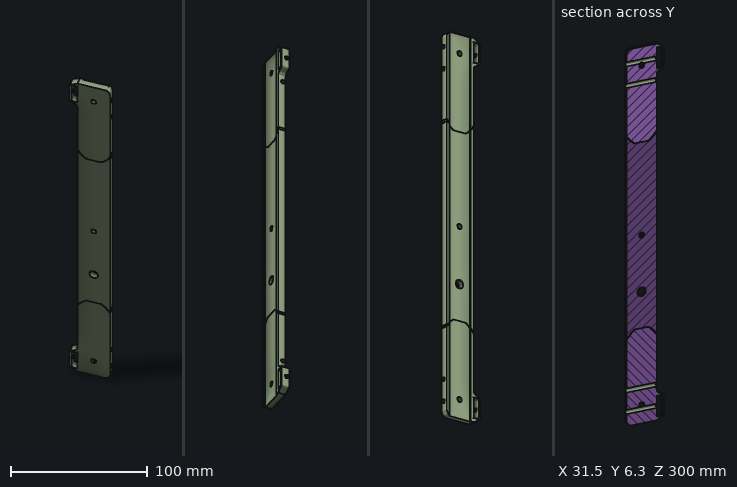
import cadquery as cq
import math

LENGTH = 300.0
THICKNESS = 6.3
PLATE_WIDTH = 25.2
CORNER_RADIUS = 4.5

CHANNEL_WIDTH = 19.5
CHANNEL_DEPTH = 1.0

EAR_REACH = 6.3
EAR_SLOPE = 27.0
EAR_EDGE_RADIUS = 1.8
EAR_ROOT_RADIUS = 4.0
EAR_CENTER_Z = 138.5
SLOT_HEIGHT = 16.2
SLOT_CORNER_RADIUS = 1.5
EAR_WALL = 1.8

SEAM_Z = 73.8
SEAM_CORNER_HEIGHT = 7.2
SEAM_CORNER_WIDTH = 7.0
SEAM_CORNER_BULGE = 0.5
TIP_CUTBACK = 1.8

END_HOLE_Z = 135.0
SCREW_HOLE_DIAMETER = 4.0
CENTRE_HOLE_Z = 0.0
LARGE_HOLE_Z = -45.0
LARGE_HOLE_DIAMETER = 6.5

CROSS_HOLE_DIAMETER = 3.0
CROSS_HOLE_Y = -1.0
UPPER_CROSS_HOLE_Z = 138.3
LOWER_CROSS_HOLE_Z = 121.2

HALF_LENGTH = LENGTH / 2
HALF_WIDTH = PLATE_WIDTH / 2
EAR_X = -HALF_WIDTH - EAR_REACH
EAR_RISE = EAR_REACH * math.tan(math.radians(EAR_SLOPE))
EAR_TOP_Z = HALF_LENGTH - EAR_RISE
EAR_BOTTOM_Z = 2 * EAR_CENTER_Z - EAR_TOP_Z
EAR_ROOT_Z = EAR_BOTTOM_Z - EAR_RISE
SHOULDER_Z = SEAM_Z + SEAM_CORNER_HEIGHT


def fillet_edge_at(body, x, z, radius):
    """Round the outline corner at (x, z) along the full thickness."""
    return body.edges(cq.selectors.NearestToPointSelector((x, 0, z))).fillet(radius)


def rear_channel():
    """Shallow channel running the full length of the rear face."""
    floor_y = THICKNESS / 2 - CHANNEL_DEPTH
    return cq.Workplane("XY").box(
        CHANNEL_WIDTH, CHANNEL_DEPTH, LENGTH, centered=(True, False, True)
    ).translate((0, floor_y, 0))


def thickness_hole(z, diameter):
    """Cutter for a hole along Y on the plate axis."""
    return cq.Workplane("XZ").center(0, z).circle(diameter / 2).extrude(THICKNESS, both=True)


def cross_hole(z):
    """Cutter for a hole along X through the whole width."""
    return cq.Workplane("YZ").center(CROSS_HOLE_Y, z).circle(CROSS_HOLE_DIAMETER / 2).extrude(
        PLATE_WIDTH, both=True
    )


def strap_slot():
    """Cutter for the slot between the ear wall and the plate side."""
    left_x = EAR_X + EAR_WALL
    slot_width = -HALF_WIDTH - left_x
    slot = cq.Workplane("XY").box(slot_width, 2 * THICKNESS, SLOT_HEIGHT)
    slot = slot.edges("|Y and <X").fillet(SLOT_CORNER_RADIUS)
    return slot.translate((left_x + slot_width / 2, 0, EAR_CENTER_Z))


def end_blank():
    """End plate outline with bowed inner corners and the ear, corners not yet rounded."""
    flat_x = HALF_WIDTH - SEAM_CORNER_WIDTH
    chord = math.hypot(SEAM_CORNER_WIDTH, SEAM_CORNER_HEIGHT)
    bow_x = (HALF_WIDTH + flat_x) / 2 + SEAM_CORNER_BULGE * SEAM_CORNER_HEIGHT / chord
    bow_z = (SHOULDER_Z + SEAM_Z) / 2 - SEAM_CORNER_BULGE * SEAM_CORNER_WIDTH / chord
    return (
        cq.Workplane("XZ")
        .moveTo(-HALF_WIDTH, HALF_LENGTH)
        .lineTo(HALF_WIDTH, HALF_LENGTH)
        .lineTo(HALF_WIDTH, SHOULDER_Z)
        .threePointArc((bow_x, bow_z), (flat_x, SEAM_Z))
        .lineTo(-flat_x, SEAM_Z)
        .threePointArc((-bow_x, bow_z), (-HALF_WIDTH, SHOULDER_Z))
        .lineTo(-HALF_WIDTH, EAR_ROOT_Z)
        .lineTo(EAR_X, EAR_BOTTOM_Z)
        .lineTo(EAR_X, EAR_TOP_Z)
        .close()
        .extrude(THICKNESS / 2, both=True)
    )


def upper_end_plate():
    """End plate with a slotted strap ear, the rear channel and its holes."""
    body = end_blank()
    body = fillet_edge_at(body, HALF_WIDTH, HALF_LENGTH, CORNER_RADIUS)
    body = fillet_edge_at(body, EAR_X, EAR_TOP_Z, EAR_EDGE_RADIUS)
    body = fillet_edge_at(body, EAR_X, EAR_BOTTOM_Z, EAR_EDGE_RADIUS)
    body = fillet_edge_at(body, -HALF_WIDTH, EAR_ROOT_Z, EAR_ROOT_RADIUS)
    body = body.cut(strap_slot()).cut(rear_channel())
    body = body.cut(thickness_hole(END_HOLE_Z, SCREW_HOLE_DIAMETER))
    for z in (UPPER_CROSS_HOLE_Z, LOWER_CROSS_HOLE_Z):
        body = body.cut(cross_hole(z))
    return body


def centre_plate():
    """Centre plate whose ends cradle the end plates, with its four tips cut back square."""
    tip_z = SHOULDER_Z - TIP_CUTBACK
    body = cq.Workplane("XY").box(PLATE_WIDTH, THICKNESS, 2 * tip_z)
    seat = end_blank()
    body = body.cut(seat).cut(seat.mirror("XY"))
    body = body.cut(rear_channel())
    body = body.cut(thickness_hole(CENTRE_HOLE_Z, SCREW_HOLE_DIAMETER))
    return body.cut(thickness_hole(LARGE_HOLE_Z, LARGE_HOLE_DIAMETER))


upper_end = upper_end_plate()
lower_end = upper_end.mirror("XY")
centre = centre_plate()

result = cq.Compound.makeCompound([upper_end.val(), lower_end.val(), centre.val()])